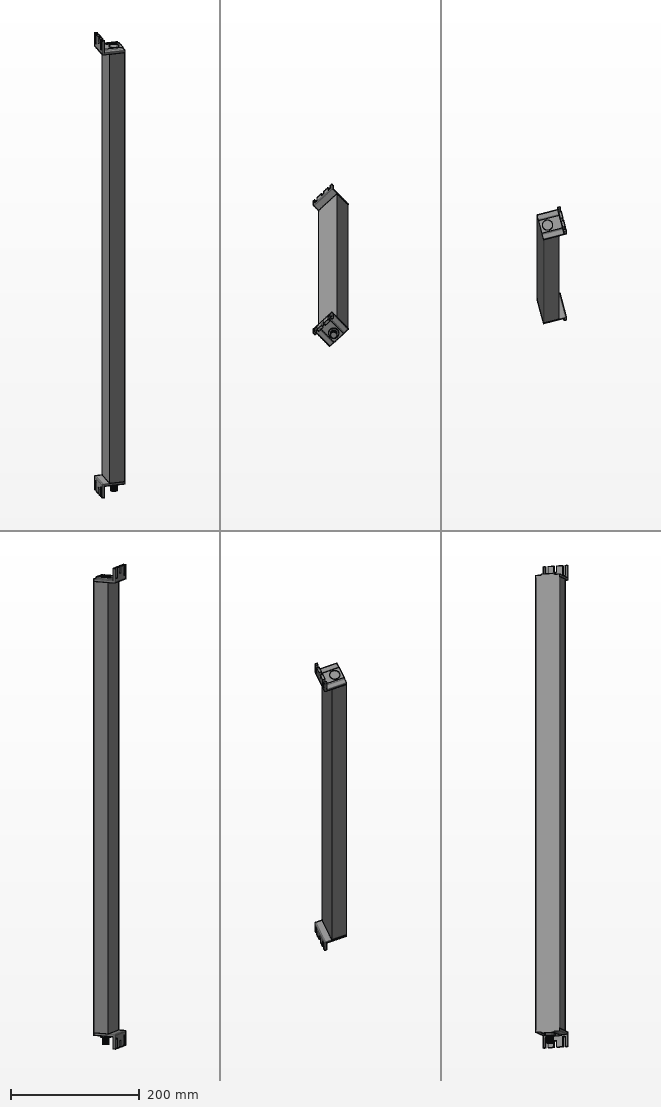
import cadquery as cq

LENGTH = 760.0
WIDTH = 40.0
DEPTH = 37.0

BAR_DEPTH = 25.0
SMALL_RADIUS = 0.495

FLANGE_HEIGHT = 17.5
FLANGE_THICKNESS = 4.2
BEND_RADIUS = 1.6
PLATE_THICKNESS = 4.2
PAD_HEIGHT = 1.6
PAD_WIDTH = 20.5

SLOT_WIDTH = 4.5
SIDE_SLOT_OFFSET = 14.5
SIDE_SLOT_DEPTH = 17.0
CENTRE_SLOT_DEPTH = 11.0

PORT_Y = 7.0
PORT_DIAMETER = 16.0
RECESS_DEPTH = 1.0
COLLAR_HEIGHT = 3.0
THREAD_DIAMETER = 11.0
THREAD_LENGTH = 11.5
GROOVE_COUNT = 5
GROOVE_WIDTH = 1.0
GROOVE_DEPTH = 0.4

FRONT_Y = -DEPTH / 2
BACK_Y = DEPTH / 2
TOP_Z = LENGTH / 2
PAD_Z = TOP_Z - FLANGE_HEIGHT
PLATE_TOP_Z = PAD_Z - PAD_HEIGHT
PLATE_BOTTOM_Z = PLATE_TOP_Z - PLATE_THICKNESS


def block(width, y_min, y_max, z_min, z_max):
    """Box centred on X between the given Y and Z limits."""
    box = cq.Workplane("XY").box(width, y_max - y_min, z_max - z_min, centered=(True, False, False))
    return box.translate((0, y_min, z_min))


def open_slot(x, depth):
    """Round-ended cutter through the flange, running in from its free edge."""
    radius = SLOT_WIDTH / 2
    end_z = TOP_Z - depth + radius
    return (
        cq.Workplane("XZ", origin=(x, 0, 0))
        .moveTo(-radius, TOP_Z)
        .lineTo(-radius, end_z)
        .threePointArc((0, end_z - radius), (radius, end_z))
        .lineTo(radius, TOP_Z)
        .close()
        .extrude(DEPTH)
    )


def raised_pad():
    """Pad along the plate, its sides blending into the plate with hollow fillets."""
    half = PAD_WIDTH / 2
    hollow = PAD_HEIGHT * (1 - 0.5**0.5)
    return (
        cq.Workplane("XZ", origin=(0, BACK_Y, 0))
        .moveTo(-half - PAD_HEIGHT, PLATE_TOP_Z)
        .threePointArc((-half - hollow, PLATE_TOP_Z + hollow), (-half, PAD_Z))
        .lineTo(half, PAD_Z)
        .threePointArc((half + hollow, PLATE_TOP_Z + hollow), (half + PAD_HEIGHT, PLATE_TOP_Z))
        .close()
        .extrude(DEPTH - FLANGE_THICKNESS)
    )


def top_bracket():
    plate = block(WIDTH, FRONT_Y, BACK_Y, PLATE_BOTTOM_Z, PLATE_TOP_Z)
    flange = block(WIDTH, FRONT_Y, FRONT_Y + FLANGE_THICKNESS, PLATE_BOTTOM_Z, TOP_Z)
    bracket = plate.union(flange)
    bracket = bracket.edges("<Y and <Z").fillet(BEND_RADIUS)
    bracket = bracket.faces("<X or >X").edges("not >Y").fillet(SMALL_RADIUS)
    bracket = bracket.union(raised_pad())
    for x in (-SIDE_SLOT_OFFSET, SIDE_SLOT_OFFSET):
        bracket = bracket.cut(open_slot(x, SIDE_SLOT_DEPTH))
    bracket = bracket.cut(open_slot(0, CENTRE_SLOT_DEPTH))
    centre_slot = cq.selectors.BoxSelector(
        (-SLOT_WIDTH, FRONT_Y - SLOT_WIDTH, PAD_Z),
        (SLOT_WIDTH, FRONT_Y + SMALL_RADIUS, TOP_Z - SMALL_RADIUS),
    )
    return bracket.edges(centre_slot).fillet(SMALL_RADIUS)


def bar():
    body = block(WIDTH, BACK_Y - BAR_DEPTH, BACK_Y, -PLATE_BOTTOM_Z, PLATE_BOTTOM_Z)
    return body.edges("|Z and >Y").fillet(SMALL_RADIUS)


def port_cylinder(diameter, z_top, height):
    """Cylinder on the port axis, running down from z_top."""
    return cq.Workplane("XY", origin=(0, PORT_Y, z_top)).circle(diameter / 2).extrude(-height)


def connector():
    collar_end_z = -PAD_Z - COLLAR_HEIGHT
    body = port_cylinder(PORT_DIAMETER, -PAD_Z, COLLAR_HEIGHT)
    body = body.union(port_cylinder(THREAD_DIAMETER, collar_end_z, THREAD_LENGTH))
    pitch = THREAD_LENGTH / GROOVE_COUNT
    for index in range(GROOVE_COUNT):
        groove_top = collar_end_z - index * pitch - GROOVE_WIDTH / 2
        ring = port_cylinder(THREAD_DIAMETER, groove_top, GROOVE_WIDTH)
        core = port_cylinder(THREAD_DIAMETER - 2 * GROOVE_DEPTH, groove_top, GROOVE_WIDTH)
        body = body.cut(ring.cut(core))
    return body


upper = top_bracket()
lower = upper.mirror("XY")
recess = port_cylinder(PORT_DIAMETER, PAD_Z, RECESS_DEPTH)

result = bar().union(upper.cut(recess)).union(lower).union(connector())